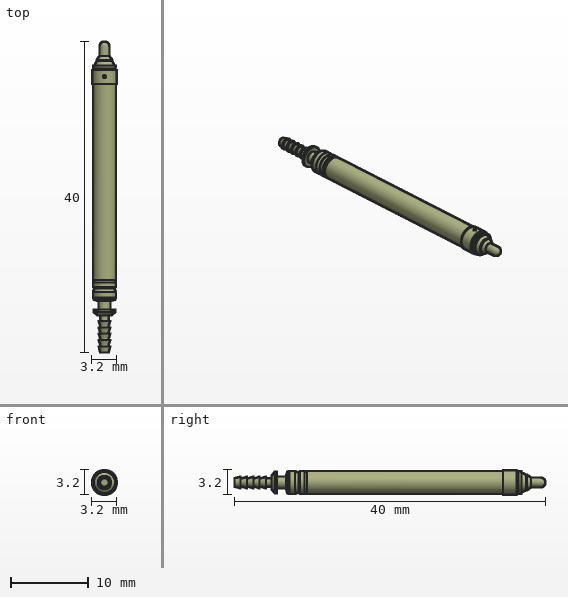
import cadquery as cq
import math

LENGTH = 40.0

BARB_COUNT = 5
BARB_PITCH = 0.81
BARB_TAPER = 0.62
BARB_RADIUS = 0.76
TAIL_RADIUS = 0.56
END_BARB_TOP = 0.8

FLANGE_START = 4.75
FLANGE_RIM_START = 5.2
FLANGE_TOP = 5.5
FLANGE_BASE_RADIUS = 0.85
FLANGE_RADIUS = 1.4
STEM_RADIUS = 0.79

BARREL_START = 6.6
BARREL_RADIUS = 1.5
BEVEL_START = 6.8
BEVEL_TOP = 7.07
BEVEL_DEPTH = 0.12
GROOVE_START = 7.8
GROOVE_BOTTOM = 8.22
GROOVE_TOP = 8.45
GROOVE_DEPTH = 0.23
JOINT_START = 9.0
JOINT_TOP = 9.3
JOINT_DEPTH = 0.12

COLLAR_START = 34.55
COLLAR_TOP = 36.3
COLLAR_RADIUS = 1.6
MARKER_DIAMETER = 0.35
MARKER_DEPTH = 0.3
MARKER_Y = 35.48

NECK_Y = 36.5
NECK_RADIUS = 1.4
NOSE_RIM_TOP = 36.9
NOSE_BASE_RADIUS = 1.32
NOSE_STEP_START = 37.48
NOSE_STEP_TOP = 37.63
NOSE_STEP_RADIUS = 1.02
NOSE_TOP = 38.12
PIN_RADIUS = 0.65


def add_barbs(profile):
    """Trace the barbs from the end face up to the bare tail."""
    profile = profile.lineTo(TAIL_RADIUS, 0)
    for index in range(BARB_COUNT):
        top = END_BARB_TOP + index * BARB_PITCH
        if index > 0:
            profile = profile.lineTo(TAIL_RADIUS, top - BARB_TAPER)
        profile = profile.lineTo(BARB_RADIUS, top).lineTo(TAIL_RADIUS, top)
    return profile


def add_flange(profile):
    """Trace the cone flange and the stem up to the barrel."""
    return (
        profile.lineTo(TAIL_RADIUS, FLANGE_START)
        .lineTo(FLANGE_BASE_RADIUS, FLANGE_START)
        .lineTo(FLANGE_RADIUS, FLANGE_RIM_START)
        .lineTo(FLANGE_RADIUS, FLANGE_TOP)
        .lineTo(STEM_RADIUS, FLANGE_TOP)
        .lineTo(STEM_RADIUS, BARREL_START)
    )


def add_groove(profile):
    """Trace the V-shaped groove near the rear end of the barrel."""
    return (
        profile.lineTo(BARREL_RADIUS, GROOVE_START)
        .lineTo(BARREL_RADIUS - GROOVE_DEPTH, GROOVE_BOTTOM)
        .lineTo(BARREL_RADIUS, GROOVE_TOP)
    )


def add_joint(profile):
    """Trace the joint between end cap and barrel: a taper inwards, then a square step out."""
    return (
        profile.lineTo(BARREL_RADIUS, JOINT_START)
        .lineTo(BARREL_RADIUS - JOINT_DEPTH, JOINT_TOP)
        .lineTo(BARREL_RADIUS, JOINT_TOP)
    )


def add_barrel(profile):
    """Trace the barrel from its bevelled rear end up to the collar."""
    profile = profile.lineTo(BARREL_RADIUS - BEVEL_DEPTH, BEVEL_START).lineTo(BARREL_RADIUS, BEVEL_TOP)
    profile = add_groove(profile)
    profile = add_joint(profile)
    return profile.lineTo(BARREL_RADIUS, COLLAR_START)


def add_head(profile):
    """Trace the collar, the stepped nose and the round-ended pin."""
    pin_top = LENGTH - PIN_RADIUS
    diagonal = PIN_RADIUS * math.sqrt(0.5)
    return (
        profile.lineTo(COLLAR_RADIUS, COLLAR_START)
        .lineTo(COLLAR_RADIUS, COLLAR_TOP)
        .lineTo(NECK_RADIUS, NECK_Y)
        .lineTo(BARREL_RADIUS, NOSE_RIM_TOP)
        .lineTo(NOSE_BASE_RADIUS, NOSE_RIM_TOP)
        .lineTo(NOSE_STEP_RADIUS, NOSE_STEP_START)
        .lineTo(NOSE_STEP_RADIUS, NOSE_STEP_TOP)
        .lineTo(PIN_RADIUS, NOSE_TOP)
        .lineTo(PIN_RADIUS, pin_top)
        .threePointArc((diagonal, pin_top + diagonal), (0, LENGTH))
    )


def make_body():
    """Revolve the half profile about the Y axis."""
    profile = cq.Workplane("XY").moveTo(0, 0)
    for add_section in (add_barbs, add_flange, add_barrel, add_head):
        profile = add_section(profile)
    return profile.close().revolve(360, (0, 0, 0), (0, 1, 0))


def make_marker_hole():
    """Blind hole cutter entering the collar from +Z."""
    return (
        cq.Workplane("XY", origin=(0, MARKER_Y, COLLAR_RADIUS - MARKER_DEPTH))
        .circle(MARKER_DIAMETER / 2)
        .extrude(COLLAR_RADIUS)
    )


result = make_body().cut(make_marker_hole())